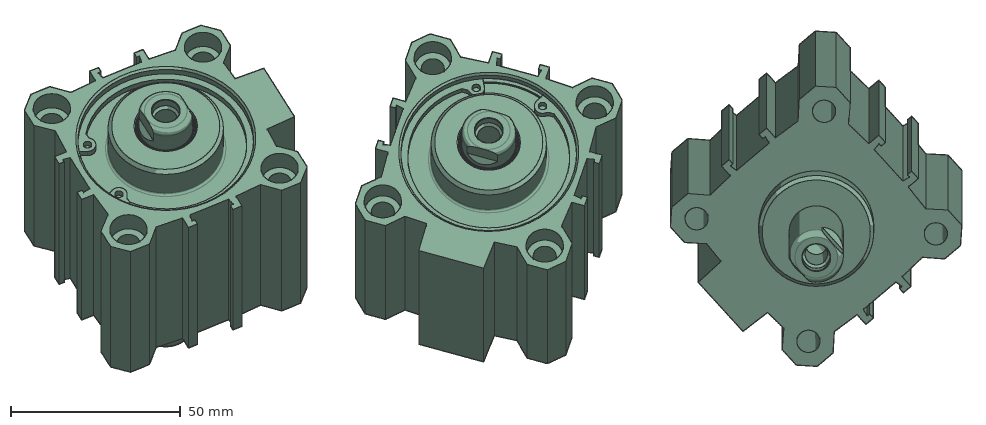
import cadquery as cq
import math


ROD_LENGTH = 106.5
ROD_DIA = 16.0
ROD_ROUNDING = 1.7
FLAT_WIDTH = 12.9
FLAT_LENGTH = 5.2
SOCKET_MOUTH_DIA = 8.5
SOCKET_DIA = 8.2
SOCKET_DEPTH = 2.9
PILOT_DIA = 6.6
PILOT_DEPTH = 14.9
DRILL_TIP_ANGLE = 160.0

BARREL_BOTTOM = 33.7
BARREL_HEIGHT = 59.3
BARREL_TOP = BARREL_BOTTOM + BARREL_HEIGHT
HALF_WIDTH = 32.5
LOBE_CHAMFER = 4.4
LOBE_FACE_END = 21.8
LOBE_ROOT_ALONG = 17.3
LOBE_ROOT_OUT = 27.8
SIDE_OUT = 28.3
PORT_OUT = 37.5
PORT_ROOT_HALF = 10.4
PORT_END_HALF = 10.0

RAIL_OUT = 32.3
RAIL_OUTER = 8.8
RAIL_ROOT_INNER = 6.4
RAIL_NECK_INNER = 6.8
RAIL_LIP_INNER = 5.9
RAIL_LIP_IN = 30.6

MOUNT_PITCH = 50.0
MOUNT_DIA = 6.8
MOUNT_BORE_DIA = 11.0
MOUNT_BORE_DEPTH = 6.9

COLLAR_DIA = 34.0
COLLAR_HEIGHT = 6.1
COLLAR_CHAMFER = 1.1
COLLAR_BASE_FILLET = 0.7
BORE_DIA = 51.8
BORE_CHAMFER = 0.6
COVER_CHAMFER = 0.4
COVER_THICKNESS = 10.6

RING_DROP = 2.8
RING_THICKNESS = 2.1
RING_INNER_DIA = 47.7
RING_OUTER_DIA = 54.3
LUG_X = 10.2
LUG_Y = -20.7
LUG_RADIUS = 2.5
LUG_HOLE_DIA = 2.5
LUG_NECK_Y = -19.2
LUG_NECK_FILLET = 1.4

WIPER_MOUTH_DIA = 18.6
WIPER_SEAT_DIA = 18.0
WIPER_LIP_ROOT_DIA = 17.7
WIPER_LIP_CREST_DIA = 17.0
WIPER_LIP_TIP_DIA = 16.5
WIPER_SEAT_DEPTH = 3.2
WIPER_LIP_HEIGHT = 0.9
WIPER_LIP_DROP = 0.9

COVER_TOP = BARREL_TOP - RING_DROP - RING_THICKNESS
COVER_BOTTOM = COVER_TOP - COVER_THICKNESS
COLLAR_TOP = BARREL_TOP + COLLAR_HEIGHT
WIPER_FLOOR = COLLAR_TOP - WIPER_SEAT_DEPTH


def cylinder(diameter, bottom, top):
    return cq.Workplane("XY", origin=(0, 0, bottom)).circle(diameter / 2).extrude(top - bottom)


def turned(half_profile):
    """Revolve a closed (radius, z) outline about the Z axis."""
    return cq.Workplane("XZ").polyline(half_profile).close().revolve(360, (0, 0), (0, 1))


def prism(points, bottom, height):
    return cq.Workplane("XY", origin=(0, 0, bottom)).polyline(points).close().extrude(height)



def flat_cutter(side):
    """Material beyond one wrench flat at the upper rod end, with a 45 degree run-out below."""
    flat = FLAT_WIDTH / 2
    reach = ROD_DIA
    shoulder = ROD_LENGTH - FLAT_LENGTH
    outline = [
        (side * flat, ROD_LENGTH),
        (side * flat, shoulder),
        (side * reach, shoulder - (reach - flat)),
        (side * reach, ROD_LENGTH),
    ]
    return cq.Workplane("YZ").polyline(outline).close().extrude(ROD_DIA / 2, both=True)


def socket_cutter():
    """Stepped blind hole in the upper rod end, ending in a drill tip."""
    mouth, wide, pilot = SOCKET_MOUTH_DIA / 2, SOCKET_DIA / 2, PILOT_DIA / 2
    ledge = ROD_LENGTH - SOCKET_DEPTH
    floor = ROD_LENGTH - PILOT_DEPTH
    tip = floor - pilot / math.tan(math.radians(DRILL_TIP_ANGLE / 2))
    return turned([
        (0, ROD_LENGTH),
        (mouth, ROD_LENGTH),
        (wide, ROD_LENGTH - (mouth - wide)),
        (wide, ledge),
        (pilot, ledge - (wide - pilot)),
        (pilot, floor),
        (0, tip),
    ])


def make_rod():
    rod = cylinder(ROD_DIA, 0, ROD_LENGTH).faces("<Z or >Z").edges().fillet(ROD_ROUNDING)
    end_cutters = [flat_cutter(-1), flat_cutter(1), socket_cutter()]
    for cutter in end_cutters:
        rod = rod.cut(cutter).cut(cutter.mirror("XY", (0, 0, ROD_LENGTH / 2)))
    return rod



def barrel_outline():
    """Octagonal corner lobes joined by sides that bulge to a flat middle."""
    quarter = [
        (SIDE_OUT, RAIL_OUTER),
        (LOBE_ROOT_OUT, LOBE_ROOT_ALONG),
        (HALF_WIDTH, LOBE_FACE_END),
        (HALF_WIDTH, HALF_WIDTH - LOBE_CHAMFER),
        (HALF_WIDTH - LOBE_CHAMFER, HALF_WIDTH),
        (LOBE_FACE_END, HALF_WIDTH),
        (LOBE_ROOT_ALONG, LOBE_ROOT_OUT),
        (RAIL_OUTER, SIDE_OUT),
    ]
    points = []
    for _ in range(4):
        points += quarter
        quarter = [(-y, x) for x, y in quarter]
    return points


def rail(side):
    """One hooked rail on the -Y side of the barrel; `side` is its sign in X."""
    outline = [
        (RAIL_OUTER, LOBE_ROOT_OUT),
        (RAIL_OUTER, RAIL_OUT),
        (RAIL_LIP_INNER, RAIL_OUT),
        (RAIL_LIP_INNER, RAIL_LIP_IN),
        (RAIL_NECK_INNER, RAIL_LIP_IN),
        (RAIL_ROOT_INNER, SIDE_OUT),
        (RAIL_ROOT_INNER, LOBE_ROOT_OUT),
    ]
    return prism([(side * x, -y) for x, y in outline], BARREL_BOTTOM, BARREL_HEIGHT)


def port_block():
    outline = [
        (-PORT_ROOT_HALF, LOBE_ROOT_OUT),
        (PORT_ROOT_HALF, LOBE_ROOT_OUT),
        (PORT_END_HALF, PORT_OUT),
        (-PORT_END_HALF, PORT_OUT),
    ]
    return prism(outline, BARREL_BOTTOM, BARREL_HEIGHT)


def bore_cutter():
    """Pocket for the cover, with a chamfered mouth and the snap ring's groove."""
    mouth_dia = BORE_DIA + 2 * BORE_CHAMFER
    pocket = turned([
        (0, COVER_BOTTOM),
        (BORE_DIA / 2, COVER_BOTTOM),
        (BORE_DIA / 2, BARREL_TOP - BORE_CHAMFER),
        (mouth_dia / 2, BARREL_TOP),
        (0, BARREL_TOP),
    ])
    return pocket.union(cylinder(RING_OUTER_DIA, COVER_TOP, COVER_TOP + RING_THICKNESS))


def make_barrel():
    barrel = prism(barrel_outline(), BARREL_BOTTOM, BARREL_HEIGHT).union(port_block())
    for turn in (-90, 0, 90):
        for side in (-1, 1):
            barrel = barrel.union(rail(side).rotate((0, 0, 0), (0, 0, 1), turn))
    barrel = (
        barrel.faces(">Z").workplane(origin=(0, 0, BARREL_TOP))
        .rect(MOUNT_PITCH, MOUNT_PITCH, forConstruction=True).vertices()
        .cboreHole(MOUNT_DIA, MOUNT_BORE_DIA, MOUNT_BORE_DEPTH)
    )
    collar = cylinder(COLLAR_DIA, BARREL_BOTTOM - COLLAR_HEIGHT, BARREL_BOTTOM)
    collar = collar.faces("<Z").chamfer(COLLAR_CHAMFER)
    rod_hole = cylinder(ROD_DIA, 0, BARREL_TOP)
    return barrel.union(collar).cut(bore_cutter()).cut(rod_hole)



def cover_blank():
    """Flange and collar turned in one piece, with a fillet where the collar rises."""
    flange, collar, fillet = BORE_DIA / 2, COLLAR_DIA / 2, COLLAR_BASE_FILLET
    arc_inset = fillet * (1 - math.sqrt(0.5))
    return (
        cq.Workplane("XZ")
        .moveTo(0, COVER_BOTTOM)
        .lineTo(flange, COVER_BOTTOM)
        .lineTo(flange, COVER_TOP - COVER_CHAMFER)
        .lineTo(flange - COVER_CHAMFER, COVER_TOP)
        .lineTo(collar + fillet, COVER_TOP)
        .threePointArc((collar + arc_inset, COVER_TOP + arc_inset), (collar, COVER_TOP + fillet))
        .lineTo(collar, COLLAR_TOP - COLLAR_CHAMFER)
        .lineTo(collar - COLLAR_CHAMFER, COLLAR_TOP)
        .lineTo(0, COLLAR_TOP)
        .close()
        .revolve(360, (0, 0), (0, 1))
    )


def wiper_seat_cutter():
    """Counterbore for the wiper, with a chamfered mouth."""
    mouth, seat = WIPER_MOUTH_DIA / 2, WIPER_SEAT_DIA / 2
    return turned([
        (0, WIPER_FLOOR),
        (seat, WIPER_FLOOR),
        (seat, COLLAR_TOP - (mouth - seat)),
        (mouth, COLLAR_TOP),
        (0, COLLAR_TOP),
    ])


def make_cover():
    rod_hole = cylinder(ROD_DIA, COVER_BOTTOM, COLLAR_TOP)
    return cover_blank().cut(wiper_seat_cutter()).cut(rod_hole)



def make_wiper():
    """Ring around the rod whose upper lip is bevelled inside and out."""
    lip_tip = COLLAR_TOP - WIPER_LIP_DROP
    lip_root = lip_tip - WIPER_LIP_HEIGHT
    return turned([
        (ROD_DIA / 2, WIPER_FLOOR),
        (WIPER_SEAT_DIA / 2, WIPER_FLOOR),
        (WIPER_SEAT_DIA / 2, lip_root),
        (WIPER_LIP_ROOT_DIA / 2, lip_root),
        (WIPER_LIP_CREST_DIA / 2, lip_tip),
        (WIPER_LIP_TIP_DIA / 2, lip_tip),
        (ROD_DIA / 2, lip_tip - (WIPER_LIP_TIP_DIA - ROD_DIA) / 2),
    ])



def make_snap_ring():
    """Open ring with two eyed lugs whose facing ends run radially out from the lugs."""
    inner, outer = RING_INNER_DIA / 2, RING_OUTER_DIA / 2
    lug_distance = math.hypot(LUG_X, LUG_Y)
    out_x, out_y = LUG_X / lug_distance, LUG_Y / lug_distance
    tangent_x, tangent_y = LUG_X + LUG_RADIUS * out_y, LUG_Y - LUG_RADIUS * out_x
    end_run = math.sqrt(outer**2 - LUG_RADIUS**2) - lug_distance
    end_x, end_y = tangent_x + end_run * out_x, tangent_y + end_run * out_y
    neck_rise = LUG_NECK_Y - LUG_Y
    neck_x = LUG_X + math.sqrt(LUG_RADIUS**2 - neck_rise**2)
    inner_x = math.sqrt(inner**2 - LUG_NECK_Y**2)
    lug_top = LUG_Y + LUG_RADIUS
    ring = (
        cq.Workplane("XY", origin=(0, 0, COVER_TOP))
        .moveTo(end_x, end_y)
        .threePointArc((0, outer), (-end_x, end_y))
        .lineTo(-tangent_x, tangent_y)
        .threePointArc((-LUG_X, lug_top), (-neck_x, LUG_NECK_Y))
        .lineTo(-inner_x, LUG_NECK_Y)
        .threePointArc((0, inner), (inner_x, LUG_NECK_Y))
        .lineTo(neck_x, LUG_NECK_Y)
        .threePointArc((LUG_X, lug_top), (tangent_x, tangent_y))
        .close()
        .extrude(RING_THICKNESS)
    )
    for side in (-1, 1):
        neck_corner = cq.selectors.NearestToPointSelector(
            (side * neck_x, LUG_NECK_Y, COVER_TOP + RING_THICKNESS / 2))
        ring = ring.edges("|Z").edges(neck_corner).fillet(LUG_NECK_FILLET)
    eyes = (
        cq.Workplane("XY", origin=(0, 0, COVER_TOP))
        .pushPoints([(-LUG_X, LUG_Y), (LUG_X, LUG_Y)])
        .circle(LUG_HOLE_DIA / 2).extrude(RING_THICKNESS)
    )
    return ring.cut(eyes)


barrel = make_barrel()
cover = make_cover()
wiper = make_wiper()
snap_ring = make_snap_ring()
rod = make_rod()

result = cq.Compound.makeCompound([barrel.val(), cover.val(), wiper.val(), snap_ring.val(), rod.val()])